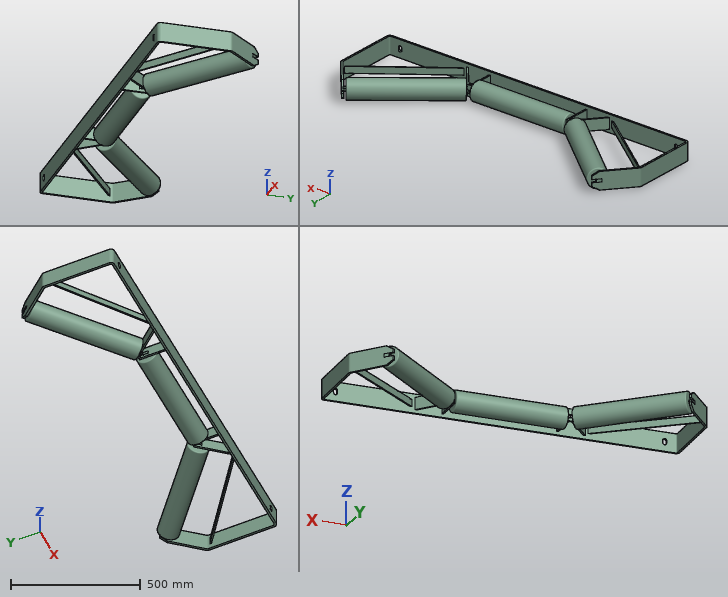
import cadquery as cq
import math

TROUGH_ANGLE = 40.0

ROLLER_LENGTH = 465.0
ROLLER_RADIUS = 45.0
ROLLER_EDGE_FILLET = 5.0
SPINDLE_RADIUS = 12.0
SPINDLE_FLATS = 13.0
CENTRE_ROLLER_Y = 98.0
CENTRE_ROLLER_Z = -5.2
SIDE_ROLLER_X = 448.0
SIDE_ROLLER_Y = 264.0
SIDE_ROLLER_Z = -2.2
SIDE_ROLLER_TILT = 0.8

FRAME_LENGTH = 1490.0
FRAME_WIDTH = 80.0
FRAME_THICKNESS = 9.0
BEND_RADIUS = 15.0
SHOULDER_HEIGHT = 300.0
ARM_LENGTH = 192.0
TIP_CHAMFER_LENGTH = 30.0
TIP_CHAMFER_DEPTH = 18.0

MOUNT_SLOT_INSET = 60.0
MOUNT_SLOT_WIDTH = 16.0
MOUNT_SLOT_HEIGHT = 25.0

BRACKET_WIDTH = 50.0
BRACKET_THICKNESS = 7.0
BRACKET_HEIGHT = 127.0
BRACKET_GAP = 3.0

BRACE_WIDTH = 30.0
BRACE_THICKNESS = 6.0
BRACE_FOOT_X = 367.0
BRACE_TOP_Y = 286.0

HALF_LENGTH = FRAME_LENGTH / 2
UPRIGHT_INNER_X = HALF_LENGTH - FRAME_THICKNESS
TROUGH = math.radians(TROUGH_ANGLE)
HALF_ROLLER = ROLLER_LENGTH / 2
INNER_REACH = BRACKET_GAP + BRACKET_THICKNESS

OUTER_REACH = (
    (HALF_LENGTH - SIDE_ROLLER_X) * math.cos(TROUGH)
    + (SHOULDER_HEIGHT - SIDE_ROLLER_Y) * math.sin(TROUGH)
    - HALF_ROLLER
)


def mirrored(body):
    """Copy of a right-hand body on the left-hand side."""
    return body.mirror("YZ")


def extrude_strip(points, width):
    """Closed XY outline extruded to a strip centred on Z = 0."""
    return cq.Workplane("XY").polyline(points).close().extrude(width / 2, both=True)


def spindle_bar(start_x, end_x):
    """Round bar along X with two flats facing up and down."""
    bar = cq.Workplane("YZ").workplane(offset=start_x).circle(SPINDLE_RADIUS).extrude(end_x - start_x)
    flats = cq.Workplane("XY").box(2 * FRAME_LENGTH, 2 * SPINDLE_RADIUS, SPINDLE_FLATS)
    return bar.intersect(flats)


def make_roller(left_reach, right_reach):
    """Roller along X centred on the origin; the reaches are the spindle lengths past the barrel."""
    barrel = (
        cq.Workplane("YZ")
        .workplane(offset=-HALF_ROLLER)
        .circle(ROLLER_RADIUS)
        .extrude(ROLLER_LENGTH)
        .faces("|X")
        .edges()
        .fillet(ROLLER_EDGE_FILLET)
    )
    return barrel.union(spindle_bar(-HALF_ROLLER - left_reach, HALF_ROLLER + right_reach))


def make_slot_cutter(left_reach, right_reach):
    """Space swept when a spindle drops in from +Y, cutting just past each spindle end."""
    margin = BRACKET_THICKNESS / 2
    start_x = -HALF_ROLLER - left_reach - margin
    end_x = HALF_ROLLER + right_reach + margin
    opening = cq.Workplane("XY").box(
        end_x - start_x, 2 * ROLLER_RADIUS, SPINDLE_FLATS, centered=(False, False, True)
    )
    return spindle_bar(start_x, end_x).union(opening.translate((start_x, 0, 0)))


def place_centre(body):
    return body.translate((0, CENTRE_ROLLER_Y, CENTRE_ROLLER_Z))


def place_side(body):
    """Tilt, slope and move a body from the origin to the right-hand side roller."""
    return (
        body.rotate((0, 0, 0), (0, 1, 0), -SIDE_ROLLER_TILT)
        .rotate((0, 0, 0), (0, 0, 1), TROUGH_ANGLE)
        .translate((SIDE_ROLLER_X, SIDE_ROLLER_Y, SIDE_ROLLER_Z))
    )


def side_point(along, across):
    """XY point at distances along and square to the right-hand roller axis."""
    return (
        SIDE_ROLLER_X + along * math.cos(TROUGH) - across * math.sin(TROUGH),
        SIDE_ROLLER_Y + along * math.sin(TROUGH) + across * math.cos(TROUGH),
    )


def make_tip_cutter(arm_tip):
    """Right-hand wedges that chamfer both edges of an arm tip."""
    half = FRAME_WIDTH / 2
    wedges = cq.Workplane("YZ")
    for side in (-1, 1):
        wedges = (
            wedges.moveTo(0, side * half)
            .lineTo(-TIP_CHAMFER_LENGTH, side * half)
            .lineTo(0, side * (half - TIP_CHAMFER_DEPTH))
            .close()
        )
    return (
        wedges.extrude(2 * FRAME_THICKNESS, both=True)
        .rotate((0, 0, 0), (0, 0, 1), TROUGH_ANGLE)
        .translate((*arm_tip, 0))
    )


def make_frame(side_slot):
    shoulder = (HALF_LENGTH, SHOULDER_HEIGHT)
    inner_shoulder = (UPRIGHT_INNER_X, SHOULDER_HEIGHT - FRAME_THICKNESS * math.tan(TROUGH / 2))
    tip = (
        HALF_LENGTH - ARM_LENGTH * math.sin(TROUGH),
        SHOULDER_HEIGHT + ARM_LENGTH * math.cos(TROUGH),
    )
    inner_tip = (tip[0] - FRAME_THICKNESS * math.cos(TROUGH), tip[1] - FRAME_THICKNESS * math.sin(TROUGH))
    outer_corner = (HALF_LENGTH, 0)
    inner_corner = (UPRIGHT_INNER_X, FRAME_THICKNESS)

    right_half = [outer_corner, shoulder, tip, inner_tip, inner_shoulder, inner_corner]
    left_half = [(-x, y) for x, y in reversed(right_half)]
    frame = extrude_strip(right_half + left_half, FRAME_WIDTH)

    for corners, radius in (
        ((outer_corner, shoulder), BEND_RADIUS),
        ((inner_corner, inner_shoulder), BEND_RADIUS - FRAME_THICKNESS),
    ):
        for x, y in corners:
            for side in (-1, 1):
                bend = cq.selectors.NearestToPointSelector((side * x, y, 0))
                frame = frame.edges("|Z").edges(bend).fillet(radius)

    for cutter in (make_tip_cutter(tip), side_slot):
        frame = frame.cut(cutter).cut(mirrored(cutter))

    slot_x = HALF_LENGTH - MOUNT_SLOT_INSET
    mount_slots = (
        cq.Workplane("XZ")
        .pushPoints([(-slot_x, 0), (slot_x, 0)])
        .slot2D(MOUNT_SLOT_HEIGHT, MOUNT_SLOT_WIDTH, 90)
        .extrude(-FRAME_THICKNESS)
    )
    return frame.cut(mount_slots)


def make_bracket(centre_slot, side_slot):
    """Right-hand bracket: upright leg, short flat top and a leg square to the side roller."""
    leg_x = HALF_ROLLER + BRACKET_GAP
    under_top = BRACKET_HEIGHT - BRACKET_THICKNESS
    roller_face = -HALF_ROLLER - BRACKET_GAP

    def sloped_leg_x(along, y):
        """X on a plane square to the side roller axis, at height y."""
        base_x, base_y = side_point(along, 0)
        return base_x - (y - base_y) * math.tan(TROUGH)

    back_face = roller_face - BRACKET_THICKNESS
    outline = [
        (leg_x, FRAME_THICKNESS),
        (leg_x, BRACKET_HEIGHT),
        (sloped_leg_x(roller_face, BRACKET_HEIGHT), BRACKET_HEIGHT),
        (sloped_leg_x(roller_face, FRAME_THICKNESS), FRAME_THICKNESS),
        (sloped_leg_x(back_face, FRAME_THICKNESS), FRAME_THICKNESS),
        (sloped_leg_x(back_face, under_top), under_top),
        (leg_x + BRACKET_THICKNESS, under_top),
        (leg_x + BRACKET_THICKNESS, FRAME_THICKNESS),
    ]
    return extrude_strip(outline, BRACKET_WIDTH).cut(centre_slot).cut(side_slot)


def make_brace():
    """Right-hand brace with ends trimmed to the base bar and the upright."""
    rise = BRACE_TOP_Y - FRAME_THICKNESS
    run = UPRIGHT_INNER_X - BRACE_FOOT_X
    length = math.hypot(rise, run)
    foot_width = BRACE_THICKNESS * length / rise
    top_width = BRACE_THICKNESS * length / run
    outline = [
        (BRACE_FOOT_X, FRAME_THICKNESS),
        (UPRIGHT_INNER_X, BRACE_TOP_Y),
        (UPRIGHT_INNER_X, BRACE_TOP_Y - top_width),
        (BRACE_FOOT_X + foot_width, FRAME_THICKNESS),
    ]
    return extrude_strip(outline, BRACE_WIDTH)


centre_roller = place_centre(make_roller(INNER_REACH, INNER_REACH))
side_roller = place_side(make_roller(INNER_REACH, OUTER_REACH))
centre_slot = place_centre(make_slot_cutter(INNER_REACH, INNER_REACH))
side_slot = place_side(make_slot_cutter(INNER_REACH, OUTER_REACH))

frame = make_frame(side_slot)
bracket = make_bracket(centre_slot, side_slot)
brace = make_brace()

bodies = [*frame.solids().vals(), *centre_roller.solids().vals()]
for right_body in (side_roller, bracket, brace):
    bodies.extend(right_body.solids().vals())
    bodies.extend(mirrored(right_body).solids().vals())

result = cq.Compound.makeCompound(bodies)